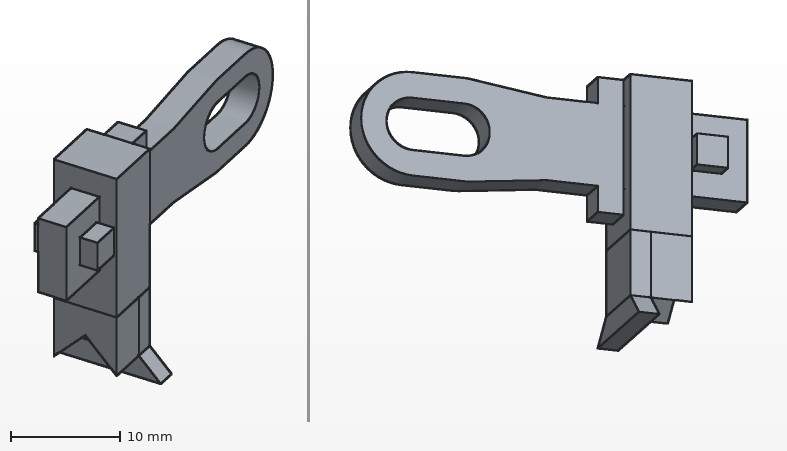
import cadquery as cq
import math

overall_length = 37.5
body_width = 6.68
housing_depth = 6.0
housing_height = 15.0
lower_height = 6.35
plate_thickness = 2.0
foot_height = 2.32

key_thickness = 3.0
key_height = 8.0
nose_length = 6.0
shoulder_length = 2.5
shoulder_height = 13.0
neck_length = 5.0
eye_radius = 5.0
slot_radius = 2.5
slot_center_distance = 5.0

pin_size = 3.0
pin_gap = 0.5

housing_front = nose_length
housing_back = housing_front + housing_depth
shoulder_back = housing_back + shoulder_length
neck_back = shoulder_back + neck_length
eye_rear_y = overall_length - eye_radius
eye_front_y = eye_rear_y - slot_center_distance
housing_top = shoulder_height / 2
housing_bottom = housing_top - housing_height
lower_bottom = housing_bottom - lower_height
plate_front = housing_back - plate_thickness
pin_back = housing_front - pin_gap


def box(width, y_min, y_max, z_min, z_max):
    """Box centred on x = 0 between the given y and z limits."""
    return (
        cq.Workplane("XY")
        .box(width, y_max - y_min, z_max - z_min, centered=(True, False, False))
        .translate((0, y_min, z_min))
    )


def prism_along_y(points, y_min, y_max):
    """Prism with an XZ polygon as its section."""
    return (
        cq.Workplane("XZ", origin=(0, y_min, 0))
        .polyline(points)
        .close()
        .extrude(y_min - y_max)
    )


def pin_box():
    return box(body_width, pin_back - pin_size, pin_back, -pin_size / 2, pin_size / 2)


def make_housing():
    block = box(body_width, housing_front, housing_back, housing_bottom, housing_top)
    key_hole = box(key_thickness, housing_front, housing_back, -key_height / 2, key_height / 2)
    return block.cut(key_hole)


def make_lower_block():
    """Block under the housing with a 45 degree V notch across its whole bottom."""
    half_width = body_width / 2
    outline = [
        (-half_width, housing_bottom),
        (half_width, housing_bottom),
        (half_width, lower_bottom),
        (0, lower_bottom + half_width),
        (-half_width, lower_bottom),
    ]
    return prism_along_y(outline, housing_front, plate_front)


def make_backing_plate():
    return box(body_width, plate_front, housing_back, lower_bottom, housing_bottom)


def make_flared_foot():
    top_half = body_width / 2
    bottom_half = top_half + foot_height
    foot_bottom = lower_bottom - foot_height
    outline = [
        (-top_half, lower_bottom),
        (top_half, lower_bottom),
        (bottom_half, foot_bottom),
        (-bottom_half, foot_bottom),
    ]
    return prism_along_y(outline, plate_front, housing_back)


def eye_tangent_angle():
    """Angle from +z, toward the neck, of the point where the taper touches the eye arc."""
    run = eye_front_y - neck_back
    rise = key_height / 2
    return math.atan2(run, rise) - math.acos(eye_radius / math.hypot(run, rise))


def eye_arc_point(angle):
    """Point (y, z) on the front eye arc at an angle from +z toward the neck."""
    return (eye_front_y - eye_radius * math.sin(angle), eye_radius * math.cos(angle))


def make_key():
    half_key = key_height / 2
    half_shoulder = shoulder_height / 2
    tangent_angle = eye_tangent_angle()
    tangent_y, tangent_z = eye_arc_point(tangent_angle)
    middle_y, middle_z = eye_arc_point(tangent_angle / 2)
    outline = (
        cq.Workplane("YZ", origin=(-key_thickness / 2, 0, 0))
        .moveTo(0, -half_key)
        .lineTo(0, half_key)
        .lineTo(housing_back, half_key)
        .lineTo(housing_back, half_shoulder)
        .lineTo(shoulder_back, half_shoulder)
        .lineTo(shoulder_back, half_key)
        .lineTo(neck_back, half_key)
        .lineTo(tangent_y, tangent_z)
        .threePointArc((middle_y, middle_z), (eye_front_y, eye_radius))
        .lineTo(eye_rear_y, eye_radius)
        .threePointArc((overall_length, 0), (eye_rear_y, -eye_radius))
        .lineTo(eye_front_y, -eye_radius)
        .threePointArc((middle_y, -middle_z), (tangent_y, -tangent_z))
        .lineTo(neck_back, -half_key)
        .lineTo(shoulder_back, -half_key)
        .lineTo(shoulder_back, -half_shoulder)
        .lineTo(housing_back, -half_shoulder)
        .lineTo(housing_back, -half_key)
        .close()
    )
    slot = (
        cq.Workplane("YZ", origin=(-key_thickness / 2, 0, 0))
        .center((eye_front_y + eye_rear_y) / 2, 0)
        .slot2D(slot_center_distance + 2 * slot_radius, 2 * slot_radius)
        .extrude(key_thickness)
    )
    return outline.extrude(key_thickness).cut(slot).cut(pin_box())


housing = make_housing()
lower_block = make_lower_block()
backing_plate = make_backing_plate()
flared_foot = make_flared_foot()
key = make_key()
cross_pin = pin_box()

result = cq.Compound.makeCompound([
    housing.val(),
    lower_block.val(),
    backing_plate.val(),
    flared_foot.val(),
    key.val(),
    cross_pin.val(),
])